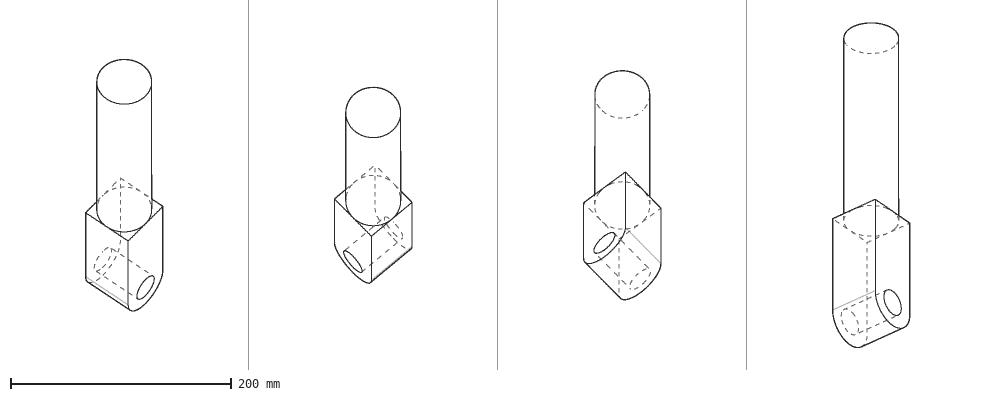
import cadquery as cq

width = 50.0
rod_length = 200.0
block_height = 100.0
pin_hole_diameter = 25.0

end_radius = width / 2


def make_eye_block():
    """Square block with a full-round lower end, centred on the pin axis along X."""
    return (
        cq.Workplane("YZ")
        .moveTo(-end_radius, 0)
        .threePointArc((0, -end_radius), (end_radius, 0))
        .lineTo(end_radius, block_height)
        .lineTo(-end_radius, block_height)
        .close()
        .extrude(width / 2, both=True)
    )


def make_rod():
    """Round rod standing on top of the block."""
    return cq.Workplane("XY").workplane(offset=block_height).circle(width / 2).extrude(rod_length)


def make_pin_hole():
    """Cylinder along X that cuts the pin hole through the block."""
    return cq.Workplane("YZ").circle(pin_hole_diameter / 2).extrude(width / 2, both=True)


result = make_eye_block().union(make_rod()).cut(make_pin_hole())